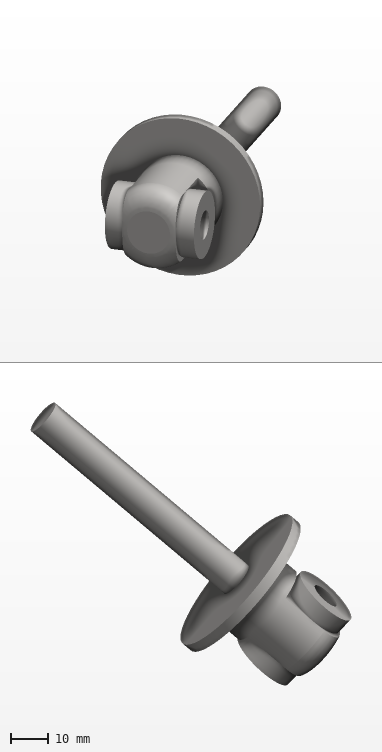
import cadquery as cq

total_length = 101.0
flange_thickness = 3.0
hub_length = 28.0
rod_length = total_length - flange_thickness - hub_length

rod_diameter = 10.0
flange_diameter = 45.0
hub_diameter = 24.0
hub_nose_fillet = 6.0

tongue_width = 15.0
tongue_length = 20.0
boss_diameter = 18.6
boss_thickness = 5.0
pin_hole_diameter = 8.0
pin_to_nose = 10.0

nose_y = -pin_to_nose
flange_y = nose_y + hub_length
rod_y = flange_y + flange_thickness
boss_span = tongue_width + 2 * boss_thickness


def cylinder_along_y(diameter, start_y, length):
    """Cylinder on the rod axis, running from start_y toward +Y."""
    return cq.Workplane("XZ", origin=(0, start_y, 0)).circle(diameter / 2).extrude(-length)


def cylinder_along_x(diameter, length):
    """Cylinder on the pin axis, centred on the rod axis."""
    return cq.Workplane("YZ").circle(diameter / 2).extrude(length / 2, both=True)


def make_hub():
    """Round hub with a rounded nose and two flats forming the tongue."""
    hub = cylinder_along_y(hub_diameter, nose_y, hub_length).faces("<Y").edges().fillet(hub_nose_fillet)
    for side in (-1, 1):
        cutter = cq.Workplane("XY").box(hub_diameter, tongue_length, hub_diameter)
        cutter_x = side * (tongue_width + hub_diameter) / 2
        hub = hub.cut(cutter.translate((cutter_x, nose_y + tongue_length / 2, 0)))
    return hub


rod = cylinder_along_y(rod_diameter, rod_y, rod_length)
flange = cylinder_along_y(flange_diameter, flange_y, flange_thickness)
bosses = cylinder_along_x(boss_diameter, boss_span)
pin_hole = cylinder_along_x(pin_hole_diameter, boss_span)

result = make_hub().union(flange).union(rod).union(bosses).cut(pin_hole)